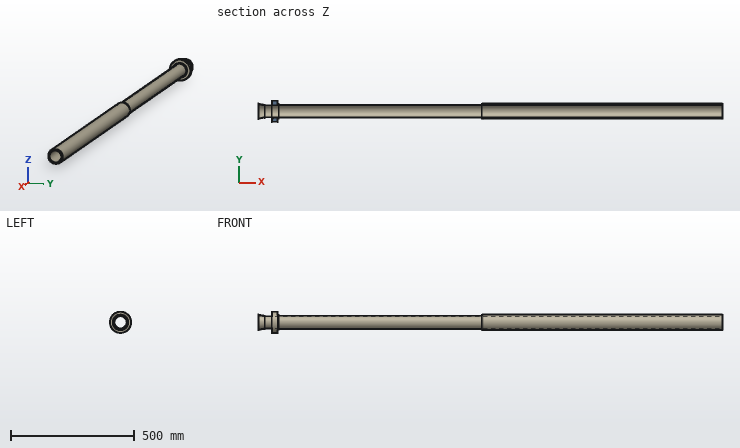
import cadquery as cq
import math

TOTAL_LENGTH = 1877.04
START_X = -TOTAL_LENGTH / 2

BORE_DIAMETER = 49.02
NECK_DIAMETER = 50.8
TUBE_DIAMETER = 54.71
HUB_DIAMETER = 60.78
LIP_BORE = 61.72
LIP_DIAMETER = 63.5
COLLAR_DIAMETER = 86.43
SLEEVE_DIAMETER = 63.5
SLEEVE_END_DIAMETER = 61.72

FLARE_END = 26.0
COLLAR_START = 55.0
COLLAR_END = 78.0
HUB_END = 83.0
SLEEVE_START = 904.0
SLEEVE_TAPER_LENGTH = 4.0
sleeve_taper_start = SLEEVE_START + SLEEVE_TAPER_LENGTH
sleeve_taper_end = TOTAL_LENGTH - SLEEVE_TAPER_LENGTH


def point(distance, diameter):
    """Profile point at a distance from the flared end, on a given diameter."""
    return (START_X + distance, diameter / 2)


def flare_middle(lip_diameter, straight_diameter):
    """Middle of the arc that opens to the lip and ends parallel to the axis at FLARE_END."""
    rise = (lip_diameter - straight_diameter) / 2
    radius = (FLARE_END**2 + rise**2) / (2 * rise)
    half_angle = math.asin(FLARE_END / radius) / 2
    distance = FLARE_END - radius * math.sin(half_angle)
    diameter = straight_diameter + 2 * radius * (1 - math.cos(half_angle))
    return point(distance, diameter)


profile = (
    cq.Workplane("XY")
    .moveTo(*point(0, LIP_BORE))
    .lineTo(*point(0, LIP_DIAMETER))
    .threePointArc(flare_middle(LIP_DIAMETER, TUBE_DIAMETER), point(FLARE_END, TUBE_DIAMETER))
    .lineTo(*point(FLARE_END, NECK_DIAMETER))
    .lineTo(*point(COLLAR_START, NECK_DIAMETER))
    .lineTo(*point(COLLAR_START, COLLAR_DIAMETER))
    .lineTo(*point(COLLAR_END, COLLAR_DIAMETER))
    .lineTo(*point(COLLAR_END, HUB_DIAMETER))
    .lineTo(*point(HUB_END, HUB_DIAMETER))
    .lineTo(*point(HUB_END, TUBE_DIAMETER))
    .lineTo(*point(SLEEVE_START, TUBE_DIAMETER))
    .lineTo(*point(SLEEVE_START, SLEEVE_END_DIAMETER))
    .lineTo(*point(sleeve_taper_start, SLEEVE_DIAMETER))
    .lineTo(*point(sleeve_taper_end, SLEEVE_DIAMETER))
    .lineTo(*point(TOTAL_LENGTH, SLEEVE_END_DIAMETER))
    .lineTo(*point(TOTAL_LENGTH, BORE_DIAMETER))
    .lineTo(*point(FLARE_END, BORE_DIAMETER))
    .threePointArc(flare_middle(LIP_BORE, BORE_DIAMETER), point(0, LIP_BORE))
    .close()
)

result = profile.revolve(360, (0, 0, 0), (1, 0, 0))